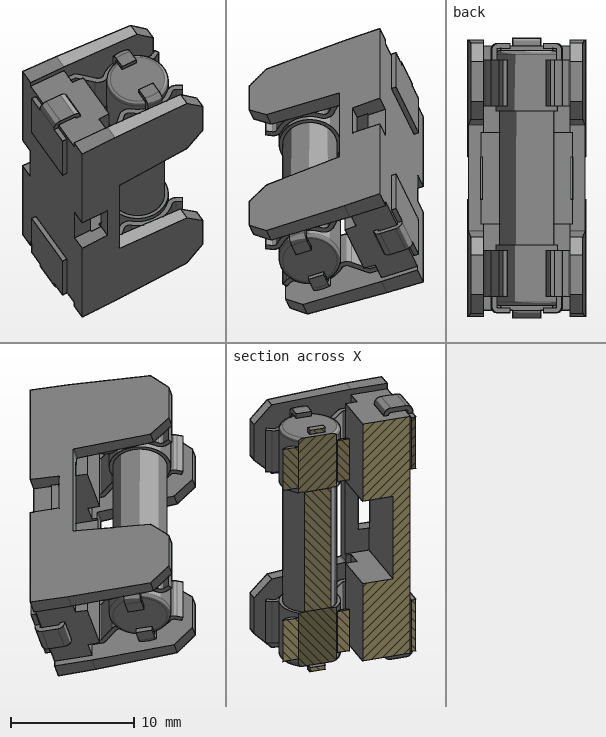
import cadquery as cq
import math


housing_width = 9.6
housing_half_height = 11.21
housing_depth = 11.5
side_draft = 1.5
arm_corner_depth = 9.99
arm_outer_corner = 10.96
arm_outer_tip = 9.45
arm_inner_tip = 6.22
arm_inner_corner = 4.77
arm_root = 4.34
arm_root_radius = 0.1
rail_depth = 3.56
shelf_depth = 3.13
channel_half_width = 3.5
end_face = 10.71
shelf_inner_end = 3.7
floor_thickness = 1.5
pocket_half_width = 3.72
block_depth = 4.1
block_base_half_width = 2.13
block_top_half_width = 2.09

window_inner_x = 3.59
window_depth = 2.4
window_half_height = 1.75
window_draft = 1.5

sheet = 0.4

pad_gap = 0.1
pad_width = 4.97
pad_inner_end = 5.9
pad_outer_end = 10.58
hook_width = 2.27
hook_top = 11.35
hook_back = 2.0
hook_radius = 0.6

fuse_depth = 8.0
cap_radius = 2.5
cap_rounding = 0.3
cap_outer_end = 10.33
cap_inner_end = 5.43
tube_radius = 2.2

spring_middle = 7.72
spring_length = 3.75
slope_heading = 135.0
foot_x = channel_half_width - sheet / 2
foot_bend = 0.23
lower_neck_radius = 0.68
upper_neck_radius = 0.55
lower_neck_angle = -41.0
upper_neck_angle = 45.0
tip_heading = 60.0
tip_length = 0.52
tab_width = 1.35
tab_end = 1.35
tab_top = 10.92
tab_bend = 0.11

UP, DOWN = 1, -1
RIGHT, LEFT = 1, -1


def box(x0, x1, y0, y1, z0, z1):
    return cq.Workplane("XY").box(x1 - x0, y1 - y0, z1 - z0, centered=False).translate((x0, y0, z0))


def polar(radius, degrees):
    angle = math.radians(degrees)
    return cq.Vector(radius * math.cos(angle), radius * math.sin(angle))


def flip(body, side, end):
    """Mirror a body from the +X, +Z quarter to the given side and end."""
    if side == LEFT:
        body = body.mirror("YZ")
    if end == DOWN:
        body = body.mirror("XY")
    return body


def make_housing_blank():
    """Side outline with two arms, narrowed by the draft of the outer sides."""
    upper = [
        (0, housing_half_height),
        (shelf_depth, housing_half_height),
        (arm_corner_depth, arm_outer_corner),
        (housing_depth, arm_outer_tip),
        (housing_depth, arm_inner_tip),
        (arm_corner_depth, arm_inner_corner),
        (rail_depth, arm_root),
    ]
    lower = [(y, -z) for y, z in reversed(upper)]
    outline = cq.Workplane("YZ").polyline(upper + lower).close().extrude(housing_width / 2, both=True)
    margin = 0.23
    root = cq.selectors.BoxSelector(
        (-housing_width, rail_depth - margin, -arm_root - margin),
        (housing_width, rail_depth + margin, arm_root + margin),
    )
    outline = outline.edges("|X").edges(root).fillet(arm_root_radius)

    front_half = housing_width / 2
    back_half = front_half - housing_depth * math.tan(math.radians(side_draft))
    taper = (
        cq.Workplane("XY")
        .polyline([
            (-front_half, 0),
            (front_half, 0),
            (back_half, housing_depth),
            (-back_half, housing_depth),
        ])
        .close()
        .extrude(housing_half_height, both=True)
    )
    return outline.intersect(taper)


def make_window(side):
    """Notch through one side rail and the edge of the floor."""
    inner_half_height = window_half_height - window_depth * math.tan(math.radians(window_draft))
    notch = (
        cq.Workplane("YZ", origin=(window_inner_x, 0, 0))
        .polyline([
            (0, -window_half_height),
            (window_depth, -inner_half_height),
            (window_depth, inner_half_height),
            (0, window_half_height),
        ])
        .close()
        .extrude(housing_width / 2)
    )
    return flip(notch, side, UP)


def make_raised_block(end):
    """Tapered block between the feet of the springs on one shelf."""
    block = (
        cq.Workplane("XY", origin=(0, 0, shelf_inner_end))
        .polyline([
            (-block_base_half_width, shelf_depth),
            (block_base_half_width, shelf_depth),
            (block_top_half_width, block_depth),
            (-block_top_half_width, block_depth),
        ])
        .close()
        .extrude(end_face - shelf_inner_end)
    )
    return flip(block, RIGHT, end)


def make_housing():
    half = channel_half_width
    height = housing_half_height
    housing = make_housing_blank()
    housing = housing.cut(box(-half, half, shelf_depth, housing_depth, -height, height))
    housing = housing.cut(box(
        -pocket_half_width, pocket_half_width,
        floor_thickness, rail_depth,
        -shelf_inner_end, shelf_inner_end,
    ))
    end_notch = box(-half, half, 0, housing_depth, end_face, height)
    for end in (UP, DOWN):
        housing = housing.cut(flip(end_notch, RIGHT, end))
        housing = housing.union(make_raised_block(end))
    for side in (RIGHT, LEFT):
        housing = housing.cut(make_window(side))
    return housing


def make_terminal(end):
    """Solder pad with a narrower strip hooked over the end of the housing."""
    front = -pad_gap - sheet
    pad = box(-pad_width / 2, pad_width / 2, front, -pad_gap, pad_inner_end, pad_outer_end)

    outside = box(-hook_width / 2, hook_width / 2, front, hook_back, pad_inner_end, hook_top)
    outside = outside.edges("|X and >Z").fillet(hook_radius)
    inside = box(
        -hook_width / 2, hook_width / 2,
        -pad_gap, hook_back - sheet,
        pad_inner_end, hook_top - sheet,
    )
    inside = inside.edges("|X and >Z").fillet(hook_radius - sheet)
    behind_face = box(-hook_width / 2, hook_width / 2, -pad_gap, hook_back, pad_inner_end, end_face)
    hook = outside.cut(inside).cut(behind_face)
    return flip(pad.union(hook), RIGHT, end)


def make_tube():
    return (
        cq.Workplane("XY", origin=(0, fuse_depth, -cap_inner_end))
        .circle(tube_radius)
        .extrude(2 * cap_inner_end)
    )


def make_cap(end):
    cap = (
        cq.Workplane("XY", origin=(0, fuse_depth, cap_inner_end))
        .circle(cap_radius)
        .extrude(cap_outer_end - cap_inner_end)
        .faces(">Z")
        .edges()
        .fillet(cap_rounding)
    )
    return flip(cap, RIGHT, end)


def make_spring_path():
    """Mid-line of the strip in X and Y, from its foot round the cap to its tip."""
    wrap_radius = cap_radius + sheet / 2
    lower_neck = polar(wrap_radius + lower_neck_radius, lower_neck_angle)
    upper_neck = polar(wrap_radius + upper_neck_radius, upper_neck_angle)

    slope_end = lower_neck + polar(lower_neck_radius, slope_heading + 90)
    slope_run = (slope_end.x - foot_x) / math.cos(math.radians(slope_heading))
    slope_foot = slope_end - polar(slope_run, slope_heading)
    foot_trim = foot_bend * math.tan(math.radians(slope_heading - 90) / 2)
    foot_end = slope_foot - cq.Vector(0, foot_trim)
    slope_start = slope_foot + polar(foot_trim, slope_heading)
    wrap_start = polar(wrap_radius, lower_neck_angle)
    wrap_end = polar(wrap_radius, upper_neck_angle)
    tip_start = upper_neck + polar(upper_neck_radius, tip_heading + 90)
    tip_end = tip_start + polar(tip_length, tip_heading)

    def flat(point):
        return (point.x, point.y)

    return (
        cq.Workplane("XY", origin=(0, fuse_depth, spring_middle))
        .moveTo(foot_x, shelf_depth - fuse_depth)
        .lineTo(*flat(foot_end))
        .tangentArcPoint(flat(slope_start), relative=False)
        .lineTo(*flat(slope_end))
        .tangentArcPoint(flat(wrap_start), relative=False)
        .threePointArc((wrap_radius, 0), flat(wrap_end))
        .tangentArcPoint(flat(tip_start), relative=False)
        .lineTo(*flat(tip_end))
    )


def make_tab():
    """Tongue that rises from the strip and bends over the end of the cap."""
    outer_radius = cap_radius + sheet
    ring = (
        cq.Workplane("XY", origin=(0, fuse_depth, spring_middle))
        .circle(outer_radius)
        .extrude(tab_top - spring_middle)
        .faces(">Z")
        .edges()
        .fillet(tab_bend + sheet)
    )
    hollow = (
        cq.Workplane("XY", origin=(0, fuse_depth, spring_middle))
        .circle(cap_radius)
        .extrude(tab_top - sheet - spring_middle)
        .faces(">Z")
        .edges()
        .fillet(tab_bend)
    )
    tongue = box(
        tab_end, outer_radius,
        fuse_depth - tab_width / 2, fuse_depth + tab_width / 2,
        spring_middle, tab_top,
    )
    return ring.cut(hollow).intersect(tongue)


def make_spring(side, end):
    path = make_spring_path()
    strip = (
        cq.Workplane("XZ", origin=(foot_x, shelf_depth, spring_middle))
        .rect(sheet, spring_length)
        .sweep(path)
    )
    return flip(strip.union(make_tab()), side, end)


housing = make_housing()
tube = make_tube()
terminals = [make_terminal(end) for end in (UP, DOWN)]
caps = [make_cap(end) for end in (UP, DOWN)]
springs = [make_spring(side, end) for end in (UP, DOWN) for side in (RIGHT, LEFT)]

result = cq.Compound.makeCompound([
    housing.solids().val(),
    tube.solids().val(),
    *[terminal.solids().val() for terminal in terminals],
    *[cap.solids().val() for cap in caps],
    *[spring.solids().val() for spring in springs],
])